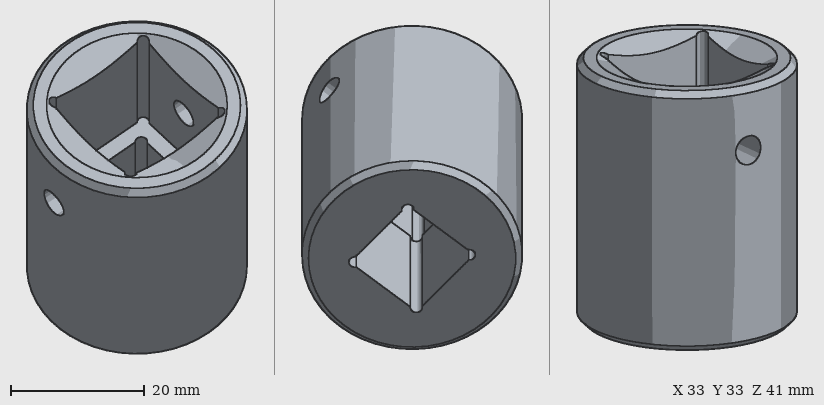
import cadquery as cq
import math

height = 41.0
outer_diameter = 33.0
edge_chamfer = 1.0

upper_square = 18.45
upper_depth = height / 2
lower_square = 13.2
relief_radius = 0.9
relief_inset = 0.55

mouth_diameter = 27.05
mouth_angle = 23.0

pin_hole_diameter = 4.5
pin_hole_drop = 10.05


def square_socket(side, floor, depth):
    """Square prism with a round relief along each vertical corner."""
    relief_spacing = side - 2 * relief_inset
    prism = cq.Workplane("XY").workplane(offset=floor).rect(side, side).extrude(depth)
    reliefs = (
        cq.Workplane("XY")
        .workplane(offset=floor)
        .rect(relief_spacing, relief_spacing, forConstruction=True)
        .vertices()
        .circle(relief_radius)
        .extrude(depth)
    )
    return prism.union(reliefs)


def mouth_cone():
    """Cone pointing down from the top face."""
    radius = mouth_diameter / 2
    depth = radius * math.tan(math.radians(mouth_angle))
    return (
        cq.Workplane("XZ")
        .moveTo(0, height)
        .lineTo(radius, height)
        .lineTo(0, height - depth)
        .close()
        .revolve(360, (0, 0, 0), (0, 1, 0))
    )


def pin_hole():
    """Cylinder along Y, crossing the whole body."""
    return (
        cq.Workplane("XZ")
        .center(0, height - pin_hole_drop)
        .circle(pin_hole_diameter / 2)
        .extrude(outer_diameter / 2, both=True)
    )


body = cq.Workplane("XY").circle(outer_diameter / 2).extrude(height)
body = body.faces("<Z or >Z").chamfer(edge_chamfer)

upper_floor = height - upper_depth
result = (
    body.cut(square_socket(upper_square, upper_floor, upper_depth))
    .cut(square_socket(lower_square, 0, upper_floor))
    .cut(mouth_cone())
    .cut(pin_hole())
)